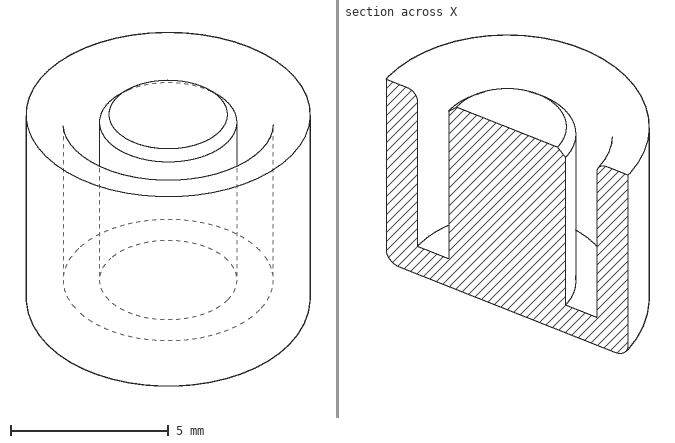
import cadquery as cq

outer_diameter = 9.0
height = 7.6
bore_diameter = 6.65
pin_diameter = 4.35
bottom_fillet = 0.5
rim_fillet = 0.4
pin_chamfer = 0.3

wall = (outer_diameter - bore_diameter) / 2
floor = wall
cavity_depth = height - floor


def make_cup():
    """Round cup with a rounded bottom edge and a rounded inner rim."""
    body = cq.Workplane("XY").circle(outer_diameter / 2).extrude(height)
    body = body.faces("<Z").edges().fillet(bottom_fillet)
    cavity = cq.Workplane("XY").workplane(offset=floor).circle(bore_diameter / 2).extrude(cavity_depth)
    cup = body.cut(cavity)
    inner_rim = cq.selectors.RadiusNthSelector(0)
    return cup.faces(">Z").edges(inner_rim).fillet(rim_fillet)


def make_pin():
    """Central pin from the underside of the floor up to the rim, chamfered at the top."""
    pin = cq.Workplane("XY").circle(pin_diameter / 2).extrude(height)
    return pin.faces(">Z").edges().chamfer(pin_chamfer)


result = make_cup().union(make_pin())